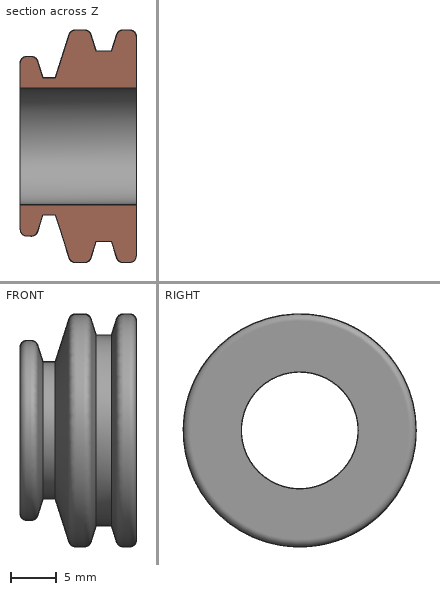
import cadquery as cq

length = 12.7
bore_diameter = 12.7
small_flange_diameter = 19.63
small_groove_diameter = 14.99
large_flange_diameter = 25.4
large_groove_diameter = 20.83
rim_fillet = 0.75

small_groove_start = 2.51
small_groove_end = 3.84
large_groove_start = 8.3
large_groove_end = 9.95
flank_slope = 0.32


def flank_run(flange_diameter, groove_diameter):
    """Axial width of a groove flank between its floor and the flange rim."""
    return flank_slope * (flange_diameter - groove_diameter) / 2


small_run = flank_run(small_flange_diameter, small_groove_diameter)
large_run = flank_run(large_flange_diameter, large_groove_diameter)
middle_run = flank_run(large_flange_diameter, small_groove_diameter)

bore_radius = bore_diameter / 2
small_flange_radius = small_flange_diameter / 2
small_groove_radius = small_groove_diameter / 2
large_flange_radius = large_flange_diameter / 2
large_groove_radius = large_groove_diameter / 2

rim_corners = [
    (0, small_flange_radius),
    (small_groove_start - small_run, small_flange_radius),
    (small_groove_end + middle_run, large_flange_radius),
    (large_groove_start - large_run, large_flange_radius),
    (large_groove_end + large_run, large_flange_radius),
    (length, large_flange_radius),
]

half_section = [
    (0, bore_radius),
    *rim_corners[:2],
    (small_groove_start, small_groove_radius),
    (small_groove_end, small_groove_radius),
    *rim_corners[2:4],
    (large_groove_start, large_groove_radius),
    (large_groove_end, large_groove_radius),
    *rim_corners[4:],
    (length, bore_radius),
]

body = (
    cq.Workplane("XY")
    .polyline(half_section)
    .close()
    .revolve(360, (0, 0, 0), (1, 0, 0))
)

match_tolerance = 0.003


def is_rim_edge(edge):
    """True for a circular edge lying on one of the sharp rim corners."""
    box = edge.BoundingBox()
    return any(
        abs(box.xmin - x) < match_tolerance
        and abs(box.xmax - x) < match_tolerance
        and abs(box.ymax - radius) < match_tolerance
        for x, radius in rim_corners
    )


rim_edges = [edge for edge in body.edges().vals() if is_rim_edge(edge)]
result = body.newObject(rim_edges).fillet(rim_fillet)